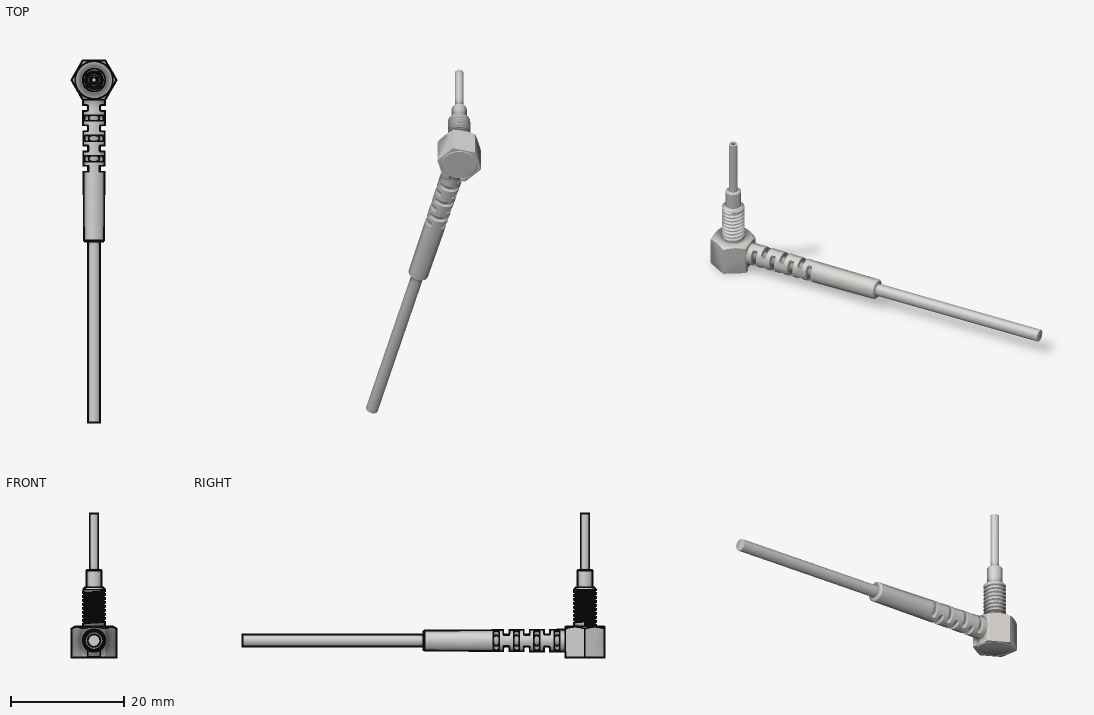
import cadquery as cq
import math


HEX_CORNERS = 8.0
HEX_FLATS = HEX_CORNERS * math.cos(math.pi / 6)
FACE_Y = -HEX_FLATS / 2
HEX_HEIGHT = 5.5
HEX_TOP_RADIUS = 3.3
HEX_CHAMFER_ANGLE = math.radians(30)
CABLE_SIDE_FILLET = 0.3

THREAD_RADIUS = 2.0
THREAD_PITCH = 0.7
THREAD_DEPTH = 0.4
THREAD_TOP = 12.4
THREAD_CHAMFER = 0.4
GROOVE_START = 5.9
GROOVE_END = 11.9
GROOVE_CLEARANCE = 0.05
CREST_WIDTH = THREAD_PITCH / 4
ROOT_WIDTH = THREAD_PITCH / 4
SLEEVE_RADIUS = 1.35
SLEEVE_TOP = 15.55
SLEEVE_CHAMFER = 0.2
TUBE_RADIUS = 0.8
TUBE_TOP = 25.5
TUBE_BORE_RADIUS = 0.45
TUBE_BORE_DEPTH = 1.3
TUBE_BASE = HEX_HEIGHT

CABLE_RADIUS = 1.1
CABLE_AXIS_Z = 3.0
TOTAL_LENGTH = 64
CABLE_END_Y = HEX_FLATS / 2 - TOTAL_LENGTH
BOOT_ROOT_RADIUS = 2.0
BOOT_END_RADIUS = 1.8
BOOT_END_Y = -28.55
BOOT_END_CHAMFER = 0.2

SLOT_WIDTH = 1.0
SLOT_LENGTH = 3.3
SLOT_END_FILLET = 0.25
SLOT_FLOOR = 0.6
SLOT_PITCH = 3.6
SIDE_SLOT_Y = -4.9
SIDE_SLOT_COUNT = 4
UPRIGHT_SLOT_Y = SIDE_SLOT_Y - SLOT_PITCH / 2
UPRIGHT_SLOT_COUNT = SIDE_SLOT_COUNT - 1

PLUG_RADIUS = 3.2
PLUG_HEIGHT = CABLE_AXIS_Z - CABLE_RADIUS
PLUG_CHAMFER = 0.2


def cylinder(radius, bottom, top):
    return cq.Workplane("XY").workplane(offset=bottom).circle(radius).extrude(top - bottom)


def along_cable(radius, start_y, end_y):
    """Cylinder on the cable axis, running towards -Y."""
    return (
        cq.Workplane("XZ", origin=(0, start_y, CABLE_AXIS_Z))
        .circle(radius)
        .extrude(start_y - end_y)
    )


def make_hex_head():
    """Hexagonal prism with a conical chamfer around its top."""
    head = cq.Workplane("XY").polygon(6, HEX_CORNERS).extrude(HEX_HEIGHT)
    half_side = HEX_CORNERS / 4
    for side in (-1, 1):
        corner = cq.NearestToPointSelector((side * half_side, FACE_Y, HEX_HEIGHT / 2))
        head = head.edges("|Z").edges(corner).fillet(CABLE_SIDE_FILLET)
    cone_drop = (HEX_CORNERS / 2 - HEX_TOP_RADIUS) * math.tan(HEX_CHAMFER_ANGLE)
    envelope = (
        cq.Workplane("XZ")
        .moveTo(0, 0)
        .lineTo(HEX_CORNERS / 2, 0)
        .lineTo(HEX_CORNERS / 2, HEX_HEIGHT - cone_drop)
        .lineTo(HEX_TOP_RADIUS, HEX_HEIGHT)
        .lineTo(0, HEX_HEIGHT)
        .close()
        .revolve(360, (0, 0), (0, 1))
    )
    return head.intersect(envelope)


def make_thread_groove():
    """Helical V groove that stops below the chamfered top of the thread."""
    mouth_half = (THREAD_PITCH - CREST_WIDTH) / 2
    root_half = ROOT_WIDTH / 2
    root_radius = THREAD_RADIUS - THREAD_DEPTH
    mouth_radius = THREAD_RADIUS + GROOVE_CLEARANCE
    mouth_half += GROOVE_CLEARANCE * (mouth_half - root_half) / THREAD_DEPTH
    climb = GROOVE_END - GROOVE_START
    path = cq.Wire.makeHelix(THREAD_PITCH, climb, THREAD_RADIUS, cq.Vector(0, 0, GROOVE_START))
    return (
        cq.Workplane("XZ")
        .moveTo(root_radius, GROOVE_START - root_half)
        .lineTo(mouth_radius, GROOVE_START - mouth_half)
        .lineTo(mouth_radius, GROOVE_START + mouth_half)
        .lineTo(root_radius, GROOVE_START + root_half)
        .close()
        .sweep(cq.Workplane(path), isFrenet=True)
    )


def make_stem():
    """Threaded stud that carries a plain sleeve on top."""
    thread = cylinder(THREAD_RADIUS, HEX_HEIGHT, THREAD_TOP).faces(">Z").chamfer(THREAD_CHAMFER)
    thread = thread.cut(make_thread_groove())
    sleeve = cylinder(SLEEVE_RADIUS, HEX_HEIGHT, SLEEVE_TOP).faces(">Z").chamfer(SLEEVE_CHAMFER)
    return thread.union(sleeve)


def make_housing():
    """Hexagonal head with its threaded stem, opened up for the tube, plug and cable."""
    housing = make_hex_head().union(make_stem())
    housing = housing.cut(cylinder(TUBE_RADIUS, TUBE_BASE, SLEEVE_TOP))
    housing = housing.cut(cylinder(PLUG_RADIUS, 0, PLUG_HEIGHT))
    housing = housing.cut(along_cable(CABLE_RADIUS, 0, FACE_Y))
    cable_slot = (
        cq.Workplane("XY", origin=(0, FACE_Y / 2, 0))
        .rect(2 * CABLE_RADIUS, -FACE_Y)
        .extrude(CABLE_AXIS_Z)
    )
    inside_wall = cylinder(PLUG_RADIUS, 0, CABLE_AXIS_Z)
    return housing.cut(cable_slot.cut(inside_wall))


def make_tube():
    tube = cylinder(TUBE_RADIUS, TUBE_BASE, TUBE_TOP)
    return tube.cut(cylinder(TUBE_BORE_RADIUS, TUBE_TOP - TUBE_BORE_DEPTH, TUBE_TOP))


def make_plug():
    return cylinder(PLUG_RADIUS, 0, PLUG_HEIGHT).faces("<Z").chamfer(PLUG_CHAMFER)


def make_cable():
    return along_cable(CABLE_RADIUS, 0, CABLE_END_Y)


def slot_cutter(slot_y, angle):
    """Round-floored slot across the boot; angle turns it about the cable axis."""
    reach = 2 * BOOT_ROOT_RADIUS
    floor_centre = SLOT_FLOOR + SLOT_WIDTH / 2
    cutter = (
        cq.Workplane("XY", origin=(0, slot_y, CABLE_AXIS_Z - SLOT_LENGTH / 2))
        .moveTo(reach, SLOT_WIDTH / 2)
        .lineTo(floor_centre, SLOT_WIDTH / 2)
        .threePointArc((SLOT_FLOOR, 0), (floor_centre, -SLOT_WIDTH / 2))
        .lineTo(reach, -SLOT_WIDTH / 2)
        .close()
        .extrude(SLOT_LENGTH)
        .edges("|X")
        .fillet(SLOT_END_FILLET)
    )
    return cutter.rotate((0, 0, CABLE_AXIS_Z), (0, 1, CABLE_AXIS_Z), angle)


def make_boot():
    """Tapered strain relief with pairs of slots alternating side to side and top to bottom."""
    boot = (
        cq.Workplane("XY", origin=(0, 0, CABLE_AXIS_Z))
        .moveTo(0, FACE_Y)
        .lineTo(BOOT_ROOT_RADIUS, FACE_Y)
        .lineTo(BOOT_END_RADIUS, BOOT_END_Y)
        .lineTo(0, BOOT_END_Y)
        .close()
        .revolve(360, (0, 0), (0, 1))
        .faces("<Y")
        .chamfer(BOOT_END_CHAMFER)
    )
    for index in range(SIDE_SLOT_COUNT):
        for angle in (0, 180):
            boot = boot.cut(slot_cutter(SIDE_SLOT_Y - index * SLOT_PITCH, angle))
    for index in range(UPRIGHT_SLOT_COUNT):
        for angle in (90, -90):
            boot = boot.cut(slot_cutter(UPRIGHT_SLOT_Y - index * SLOT_PITCH, angle))
    return boot.cut(along_cable(CABLE_RADIUS, FACE_Y, BOOT_END_Y))


housing = make_housing()
tube = make_tube()
plug = make_plug()
cable = make_cable()
boot = make_boot()

result = cq.Compound.makeCompound(
    [housing.val(), tube.val(), plug.val(), cable.val(), boot.val()]
)